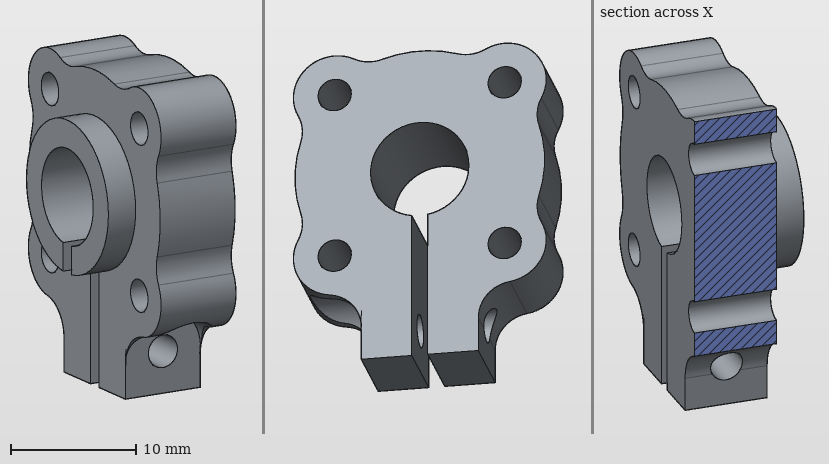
import cadquery as cq
import math

bolt_circle_radius = 19.558 / 2
corner_radius = 3.372
body_radius = 10.16
blend_radius = 2.95
plate_thickness = 6.985
hub_diameter = 12.7
hub_height = 2.54
bore_diameter = 8.0
bolt_hole_diameter = 2.7
tab_width = 9.525
tab_bottom_z = -16.0
slot_width = 1.3
clamp_hole_diameter = 2.7
clamp_hole_z = -12.52
head_seat_diameter = 6.96

total_depth = plate_thickness + hub_height
hole_offset = bolt_circle_radius * math.sin(math.radians(45))
half_tab = tab_width / 2
half_width = hole_offset + corner_radius


def between(start, end, distance):
    """Point lying the given distance from start, on the way to end."""
    span = math.dist(start, end)
    return tuple(a + (b - a) * distance / span for a, b in zip(start, end))


def mirrored(point):
    """Point reflected across the vertical centre line."""
    return (-point[0], point[1])


def swapped(point):
    """Point reflected across the upper right diagonal."""
    return (point[1], point[0])


def flipped(point):
    """Point reflected across the horizontal centre line."""
    return (point[0], -point[1])


def blend_arc_middle(center, start, end):
    """Middle of a concave blend arc, given its centre and both ends."""
    chord_middle = tuple((a + b) / 2 for a, b in zip(start, end))
    return between(center, chord_middle, blend_radius)


def make_plate():
    """Plate with four rounded corners, bulged sides and a clamp tab below."""
    origin = (0, 0)
    corner = (hole_offset, hole_offset)

    body_reach = body_radius + blend_radius
    corner_reach = corner_radius + blend_radius
    cos_offset = (body_reach**2 + bolt_circle_radius**2 - corner_reach**2) / (
        2 * body_reach * bolt_circle_radius
    )
    blend_angle = math.radians(45) + math.acos(cos_offset)
    blend_center = (body_reach * math.cos(blend_angle), body_reach * math.sin(blend_angle))
    bulge_end = between(origin, blend_center, body_radius)
    corner_start = between(corner, blend_center, corner_radius)
    blend_middle = blend_arc_middle(blend_center, bulge_end, corner_start)
    corner_middle = between(origin, corner, bolt_circle_radius + corner_radius)

    lower_corner = flipped(corner)
    tab_blend_x = half_tab + blend_radius
    tab_blend_drop = math.sqrt(corner_reach**2 - (tab_blend_x - hole_offset) ** 2)
    tab_blend_center = (tab_blend_x, -hole_offset - tab_blend_drop)
    lower_corner_end = between(lower_corner, tab_blend_center, corner_radius)
    tab_blend_end = (half_tab, tab_blend_center[1])
    tab_blend_middle = blend_arc_middle(tab_blend_center, lower_corner_end, tab_blend_end)

    right_arcs = [
        (blend_middle, corner_start),
        (corner_middle, swapped(corner_start)),
        (swapped(blend_middle), swapped(bulge_end)),
        ((body_radius, 0), flipped(swapped(bulge_end))),
        (flipped(swapped(blend_middle)), flipped(swapped(corner_start))),
        (flipped(corner_middle), lower_corner_end),
        (tab_blend_middle, tab_blend_end),
    ]
    middles = [middle for middle, _ in right_arcs]
    ends = [bulge_end] + [end for _, end in right_arcs]

    outline = cq.Workplane("XZ").moveTo(*mirrored(bulge_end))
    outline = outline.threePointArc((0, body_radius), bulge_end)
    for middle, end in right_arcs:
        outline = outline.threePointArc(middle, end)
    outline = outline.lineTo(half_tab, tab_bottom_z).lineTo(-half_tab, tab_bottom_z)
    outline = outline.lineTo(*mirrored(tab_blend_end))
    for middle, end in zip(reversed(middles), reversed(ends[:-1])):
        outline = outline.threePointArc(mirrored(middle), mirrored(end))
    return outline.close().extrude(plate_thickness)


def add_hub(body):
    """Raised round hub on the -Y face of the plate."""
    hub = cq.Workplane("XZ").circle(hub_diameter / 2).extrude(total_depth)
    return body.union(hub)


def cut_bore_and_bolt_holes(body):
    """Central bore and the four bolt holes, all running through along Y."""
    bore = cq.Workplane("XZ").circle(bore_diameter / 2).extrude(total_depth)
    bolt_holes = (
        cq.Workplane("XZ")
        .rect(2 * hole_offset, 2 * hole_offset, forConstruction=True)
        .vertices()
        .circle(bolt_hole_diameter / 2)
        .extrude(total_depth)
    )
    return body.cut(bore).cut(bolt_holes)


def cross_cylinder(diameter, start_x, end_x):
    """Cylinder on the clamp screw axis, between two X positions."""
    cylinder = (
        cq.Workplane("YZ")
        .center(-plate_thickness / 2, clamp_hole_z)
        .circle(diameter / 2)
        .extrude(end_x - start_x)
    )
    return cylinder.translate((start_x, 0, 0))


def cut_slot(body):
    """Clamping slot from the bore down through the hub and the tab."""
    slot = cq.Workplane("XY").box(
        slot_width, total_depth, -tab_bottom_z, centered=(True, False, False)
    )
    return body.cut(slot.translate((0, -total_depth, tab_bottom_z)))


def cut_clamp_screw(body):
    """Screw hole across the tab, with a screw head seat level with the tab's +X side."""
    screw_hole = cross_cylinder(clamp_hole_diameter, -half_width, half_width)
    head_seat = cross_cylinder(head_seat_diameter, half_tab, half_width)
    return body.cut(screw_hole).cut(head_seat)


body = add_hub(make_plate())
body = cut_bore_and_bolt_holes(body)
body = cut_slot(body)
result = cut_clamp_screw(body)